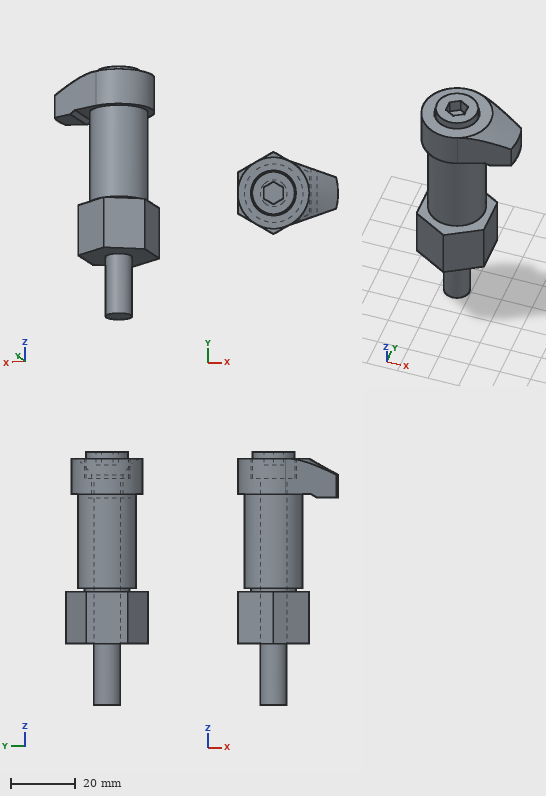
import cadquery as cq
import math

total_height = 78
head_projection = 2.0
collar_height = 11.0
sleeve_length = 29.0
spigot_height = 1.0
hex_height = 16.0
head_height = 8.0
socket_depth = 4.0

collar_top = total_height - head_projection
collar_bottom = collar_top - collar_height
sleeve_bottom = collar_bottom - sleeve_length
hex_top = sleeve_bottom - spigot_height
hex_bottom = hex_top - hex_height
head_bottom = total_height - head_height

hex_flats = 22.0
collar_radius = hex_flats / 2
sleeve_diameter = 18.0
bore_diameter = 14.0
spigot_diameter = bore_diameter
head_diameter = 13.0
shank_diameter = 8.2
socket_flats = 6.0

nose_reach = 20.0
wall_taper = 19.4
nose_drop = 5.0
pad_depth = 1.0
pad_start = 11.55
pad_flat_start = 13.3
pad_bottom = collar_bottom - pad_depth


def cylinder(diameter, bottom, top):
    return cq.Workplane("XY", origin=(0, 0, bottom)).circle(diameter / 2).extrude(top - bottom)


def hex_prism(flats, bottom, top):
    """Hexagonal prism with two flats facing +X and -X."""
    corner_diameter = flats / math.cos(math.pi / 6)
    hexagon = cq.Workplane("XY", origin=(0, 0, bottom)).transformed(rotate=(0, 0, 30))
    return hexagon.polygon(6, corner_diameter).extrude(top - bottom)


def nose_plan():
    """Tapered nose as a full-height block, with a rounded tip centred on the screw axis."""
    taper = math.radians(wall_taper)
    tangent_x = collar_radius * math.sin(taper)
    tangent_y = collar_radius * math.cos(taper)
    tip_angle = math.pi / 2 - taper - math.acos(collar_radius / nose_reach)
    tip_x = nose_reach * math.cos(tip_angle)
    tip_y = nose_reach * math.sin(tip_angle)
    return (
        cq.Workplane("XY", origin=(0, 0, pad_bottom))
        .moveTo(0, 0)
        .lineTo(tangent_x, -tangent_y)
        .lineTo(tip_x, -tip_y)
        .threePointArc((nose_reach, 0), (tip_x, tip_y))
        .lineTo(tangent_x, tangent_y)
        .close()
        .extrude(collar_top - pad_bottom)
    )


def nose_envelope():
    """Turned shape whose conical top falls from the collar rim to the nose tip."""
    outer_radius = 2 * nose_reach
    slope = nose_drop / (nose_reach - collar_radius)
    outer_top = collar_top - slope * (outer_radius - collar_radius)
    return (
        cq.Workplane("XZ")
        .polyline([(0, 0), (outer_radius, 0), (outer_radius, outer_top),
                   (collar_radius, collar_top), (0, collar_top)])
        .close()
        .revolve(360, (0, 0, 0), (0, 1, 0))
    )


def pad_relief():
    """Space under the nose that leaves the clamping pad standing at the tip."""
    return (
        cq.Workplane("XZ")
        .polyline([(0, pad_bottom), (pad_flat_start, pad_bottom),
                   (pad_start, collar_bottom), (0, collar_bottom)])
        .close()
        .extrude(collar_radius, both=True)
    )


def make_clamp():
    """Collar, nose and sleeve, counterbored for the screw head."""
    nose = nose_plan().intersect(nose_envelope()).cut(pad_relief())
    return (
        cylinder(2 * collar_radius, collar_bottom, collar_top)
        .union(nose)
        .union(cylinder(sleeve_diameter, sleeve_bottom, collar_bottom))
        .cut(cylinder(bore_diameter, head_bottom, collar_top))
        .cut(cylinder(shank_diameter, sleeve_bottom, head_bottom))
    )


def make_base():
    """Hexagonal base with a short round spigot under the sleeve."""
    return (
        hex_prism(hex_flats, hex_bottom, hex_top)
        .union(cylinder(spigot_diameter, hex_top, sleeve_bottom))
        .cut(cylinder(shank_diameter, hex_bottom, sleeve_bottom))
    )


def make_screw():
    """Socket head screw through the whole stack."""
    return (
        cylinder(shank_diameter, 0, head_bottom)
        .union(cylinder(head_diameter, head_bottom, total_height))
        .cut(hex_prism(socket_flats, total_height - socket_depth, total_height))
    )


clamp = make_clamp()
base = make_base()
screw = make_screw()

result = cq.Compound.makeCompound([clamp.val(), base.val(), screw.val()])